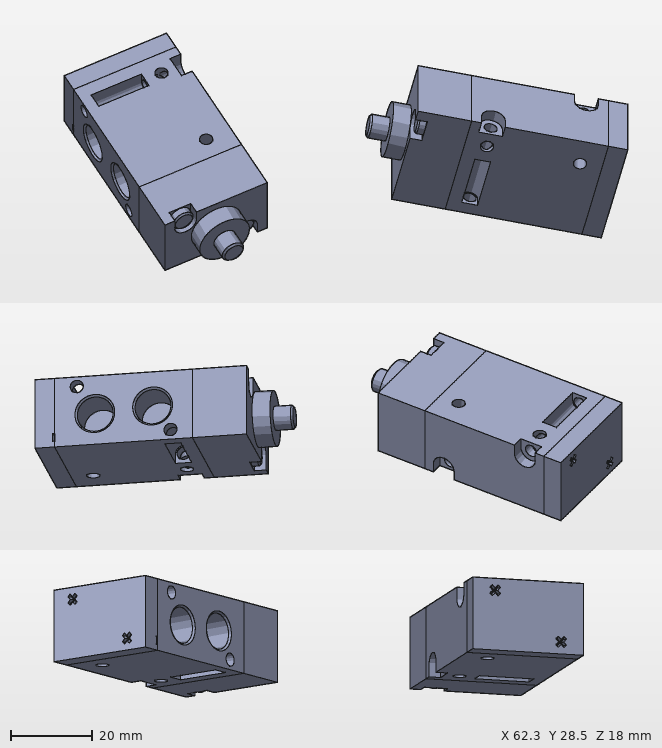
import cadquery as cq

LENGTH = 62.3
DEPTH = 28.5
HEIGHT = 18.0
CAP_LENGTH = 4.9
HOUSING_LENGTH = 34.5
HEAD_LENGTH = 13.5
COLLAR_LENGTH = 4.5

COLLAR_RADIUS = 6.9
BUTTON_RADIUS = 3.0
BUTTON_CHAMFER = 0.5

HOLE_RADIUS = 1.6
HOLE_X_NEAR = 10.45
HOLE_SPACING = 23.5
CROSS_HOLE_Z = 6.5
UPRIGHT_HOLE_Y = 7.3
SEAT_RADIUS = 3.0
SEAT_DEPTH = 3.0
RELIEF_RADIUS = 2.0
RELIEF_BACK_Y = 2.75
RELIEF_LENGTH = 13.95

PORT_CENTERS = [(15.0, -0.95), (29.45, 0.0)]
PORT_RADIUS = 4.5
PORT_CHAMFER = 0.5
PORT_DEPTH = 9.95

SCREW_Y = 8.5
SCREW_Z = 6.0
CAP_SCREW_RADIUS = 2.55
CAP_SCREW_DEPTH = 2.2
CROSS_LENGTH = 3.0
CROSS_WIDTH = 0.9
CROSS_DEPTH = 0.95
CROSS_ANGLES = (45, -45)
CROSS_TAPER = 20.0
HEAD_SCREW_RADIUS = 2.8
HEAD_SCREW_LENGTH = 2.1
HEAD_SCREW_CHAMFER = 0.45
HEAD_POCKET_RADIUS = 3.0
HEAD_POCKET_DEPTH = 3.0

NOTCH_LENGTH = 0.5
NOTCH_HEIGHT = 2.0
NOTCH_DEPTH = 0.95
NOTCH_Z = -6.5

HOUSING_X = CAP_LENGTH
HEAD_X = HOUSING_X + HOUSING_LENGTH
HEAD_END_X = HEAD_X + HEAD_LENGTH
COLLAR_END_X = HEAD_END_X + COLLAR_LENGTH
BUTTON_LENGTH = LENGTH - COLLAR_END_X
FRONT_Y = -DEPTH / 2
BACK_Y = DEPTH / 2
HOLE_X_FAR = HOLE_X_NEAR + HOLE_SPACING
CROSS_HOLES = [(HOLE_X_NEAR, CROSS_HOLE_Z, 1), (HOLE_X_FAR, -CROSS_HOLE_Z, -1)]


def block(x, length):
    """Full-section block from x to x + length."""
    return cq.Workplane("XY").box(length, DEPTH, HEIGHT, centered=(False, True, True)).translate((x, 0, 0))


def rod_x(radius, length, x, y=0.0, z=0.0):
    """Cylinder along +X starting at (x, y, z)."""
    return cq.Workplane("YZ", origin=(x, y, z)).circle(radius).extrude(length)


def rod_y(radius, length, x, y, z):
    """Cylinder along +Y starting at (x, y, z)."""
    return cq.Workplane("XZ", origin=(x, y, z)).circle(radius).extrude(-length)


def open_slot(plane, radius, z, side):
    """U outline around (0, z) on a plane whose second axis is Z, open past the top or bottom face."""
    rim = side * HEIGHT / 2
    return (
        cq.Workplane(plane)
        .moveTo(-radius, rim)
        .lineTo(-radius, z)
        .threePointArc((0, z - side * radius), (radius, z))
        .lineTo(radius, rim)
        .close()
    )


def open_slot_y(radius, length, x, y, z, side):
    """U-shaped cutter running along +Y from y."""
    return open_slot("XZ", radius, z, side).extrude(-length).translate((x, y, 0))


def open_slot_x(radius, length, x, y, z, side):
    """U-shaped cutter running along +X from x."""
    return open_slot("YZ", radius, z, side).extrude(length).translate((x, y, 0))


def cross_recess(y, z):
    """Tapered cross at 45 degrees, cut into the outer face of the end cap."""
    cross = None
    for angle in CROSS_ANGLES:
        arm = (
            cq.Workplane("YZ")
            .transformed(rotate=(0, 0, angle))
            .rect(CROSS_LENGTH, CROSS_WIDTH)
            .extrude(CROSS_DEPTH, taper=CROSS_TAPER)
        )
        cross = arm if cross is None else cross.union(arm)
    return cross.translate((0, y, z))


def make_end_cap():
    cap = block(0, CAP_LENGTH)
    for side in (1, -1):
        y, z = side * SCREW_Y, side * SCREW_Z
        screw = rod_x(CAP_SCREW_RADIUS, CAP_SCREW_DEPTH, 0, y, z)
        cap = cap.cut(screw, clean=False).union(screw.cut(cross_recess(y, z)), clean=False)
    notch = cq.Workplane("XY").box(NOTCH_LENGTH, NOTCH_DEPTH, NOTCH_HEIGHT, centered=(False, False, True))
    return cap.cut(notch.translate((CAP_LENGTH - NOTCH_LENGTH, FRONT_Y, NOTCH_Z)), clean=False)


def port_cutter(x, z):
    """Blind port with a chamfered mouth on the front face."""
    bore = rod_y(PORT_RADIUS, PORT_DEPTH, x, FRONT_Y, z)
    mouth = cq.Solid.makeCone(
        PORT_RADIUS + PORT_CHAMFER, PORT_RADIUS, PORT_CHAMFER,
        pnt=cq.Vector(x, FRONT_Y, z), dir=cq.Vector(0, 1, 0),
    )
    return bore.union(cq.Workplane(mouth))


def make_housing():
    housing = block(HOUSING_X, HOUSING_LENGTH)
    for x, z in PORT_CENTERS:
        housing = housing.cut(port_cutter(x, z))
    for x, z, side in CROSS_HOLES:
        housing = housing.cut(rod_y(HOLE_RADIUS, DEPTH, x, FRONT_Y, z))
        housing = housing.cut(open_slot_y(SEAT_RADIUS, SEAT_DEPTH, x, BACK_Y - SEAT_DEPTH, z, side))
        relief_y = RELIEF_BACK_Y - RELIEF_LENGTH
        housing = housing.cut(open_slot_y(RELIEF_RADIUS, RELIEF_LENGTH, x, relief_y, z, side))
    for x in (HOLE_X_NEAR, HOLE_X_FAR):
        upright = cq.Workplane("XY").circle(HOLE_RADIUS).extrude(HEIGHT)
        housing = housing.cut(upright.translate((x, UPRIGHT_HOLE_Y, -HEIGHT / 2)))
    return housing


def make_head():
    head = block(HEAD_X, HEAD_LENGTH)
    floor_x = HEAD_END_X - HEAD_POCKET_DEPTH
    for side in (1, -1):
        y, z = -side * SCREW_Y, side * SCREW_Z
        head = head.cut(open_slot_x(HEAD_POCKET_RADIUS, HEAD_POCKET_DEPTH, floor_x, y, z, side))
        screw = rod_x(HEAD_SCREW_RADIUS, HEAD_SCREW_LENGTH, floor_x, y, z)
        head = head.union(screw.faces(">X").edges().chamfer(HEAD_SCREW_CHAMFER))
    head = head.union(rod_x(COLLAR_RADIUS, COLLAR_LENGTH, HEAD_END_X))
    button = rod_x(BUTTON_RADIUS, BUTTON_LENGTH, COLLAR_END_X)
    button = button.faces(">X").chamfer(BUTTON_CHAMFER)
    return head.union(button)


end_cap = make_end_cap()
housing = make_housing()
head = make_head()

result = cq.Compound.makeCompound([end_cap.val(), housing.val(), head.val()])